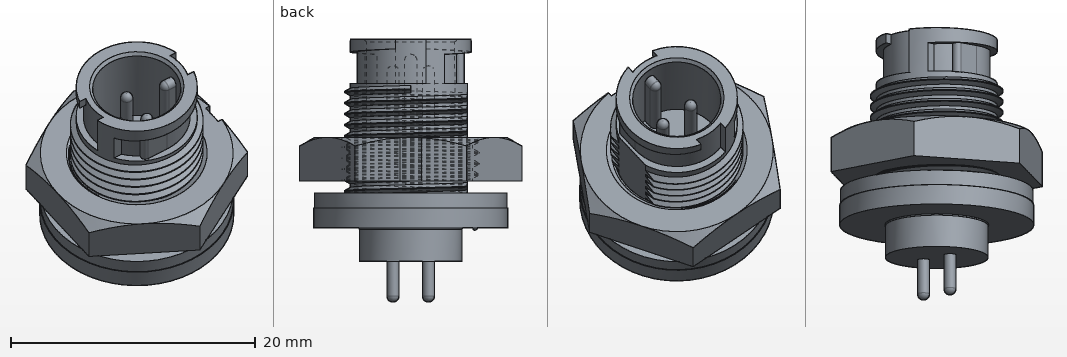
import cadquery as cq
import math


FLANGE_R = 7.94
FLANGE_H = 1.63
GASKET_R = 7.88
GASKET_TOP = 2.86

BOSS_R = 4.20
BOSS_H = 2.72
BOSS_COLLAR_R = 4.25
BOSS_COLLAR_H = 0.11
MARKER_R = 0.19
MARKER_X = -5.25

BARREL_R = 4.95
BARREL_TOP = 15.43
SHOULDER_TOP = 11.80
CAVITY_R = 3.60
CAVITY_FLOOR = 8.0
CAVITY_CHAMFER = 0.25
FLAT_X = -4.64

THREAD_PITCH = 0.90
THREAD_TURNS = 10
THREAD_CREST_R = 5.42
THREAD_CREST_W = 0.08
NUT_GROOVE_R = 5.60
NUT_GROOVE_W = 0.04
THREAD_HALF_ANGLE = 30
THREAD_EMBED = 0.05
THREAD_END_Z = 11.33
THREAD_END_ANGLE = 90

TRACK_FLOOR_R = 4.37
ENTRY_W = 2.53
TRACK_END_X = -2.74
ROOF_PITCH = 1.265
ROOF_ENTRY_Z = 14.63
ROOF_ENTRY_ANGLE = 255
ROOF_OVERRUN = 10
ROOF_BAND_H = ROOF_ENTRY_Z - SHOULDER_TOP + 0.2
DETENT_NOSE_Y = 1.89
DETENT_NOSE_R = 0.41
CUT_R = BARREL_R + 1.0

PIN_R = 0.50
PIN_X = 1.45
PIN_BOTTOM = -6.06
PIN_TOP = 13.25
DOME_FRACTION = 0.999
KEY_R = 0.50
KEY_Y = 2.86
KEY_TOP = 14.19

NUT_CORNERS = 18.18
NUT_BOTTOM = 3.83
NUT_H = 3.57
NUT_TOP = NUT_BOTTOM + NUT_H
NUT_CHAMFER_ANGLE = 30
NUT_BORE_R = 5.05
NUT_MOUTH_R = 5.75
NUT_SLOT_W = 1.78
NUT_SLOT_FLOOR_Y = 7.46


def disc(radius, bottom, top):
    return cq.Workplane("XY").workplane(offset=bottom).circle(radius).extrude(top - bottom)


def block(x_min, x_max, y_min, y_max, z_min, z_max):
    return cq.Workplane("XY").box(
        x_max - x_min, y_max - y_min, z_max - z_min, centered=False
    ).translate((x_min, y_min, z_min))


def half_turn(shape):
    return shape.rotate((0, 0, 0), (0, 0, 1), 180)


def thread_ridge(crest_r, crest_w):
    """Right-hand helical ridge, wound up to its end face on the +Y side."""
    height = THREAD_PITCH * THREAD_TURNS
    root_r = BARREL_R - THREAD_EMBED
    half_crest = crest_w / 2
    half_root = half_crest + (crest_r - root_r) * math.tan(math.radians(THREAD_HALF_ANGLE))
    path = cq.Wire.makeHelix(THREAD_PITCH, height, BARREL_R)
    ridge = (
        cq.Workplane("XZ")
        .polyline([
            (root_r, -half_root),
            (crest_r, -half_crest),
            (crest_r, half_crest),
            (root_r, half_root),
        ])
        .close()
        .sweep(cq.Workplane(obj=path), isFrenet=True)
    )
    ridge = ridge.rotate((0, 0, 0), (0, 0, 1), THREAD_END_ANGLE)
    return ridge.translate((0, 0, THREAD_END_Z - height))


def bayonet_roof_band():
    """Band from the helical roof down past the shoulder; the roof draws the coupling down."""
    end_angle = 180 - math.degrees(math.acos(-TRACK_END_X / BARREL_R))
    start_angle = end_angle - ROOF_OVERRUN
    sweep_angle = ROOF_ENTRY_ANGLE + ROOF_OVERRUN - start_angle
    height = ROOF_PITCH * sweep_angle / 360
    path = cq.Wire.makeHelix(ROOF_PITCH, height, BARREL_R)
    band = (
        cq.Workplane("XZ")
        .polyline([
            (CAVITY_R, -ROOF_BAND_H),
            (CUT_R, -ROOF_BAND_H),
            (CUT_R, 0),
            (CAVITY_R, 0),
        ])
        .close()
        .sweep(cq.Workplane(obj=path), isFrenet=True)
    )
    band = band.rotate((0, 0, 0), (0, 0, 1), start_angle)
    start_z = ROOF_ENTRY_Z - ROOF_PITCH * (ROOF_ENTRY_ANGLE - start_angle) / 360
    return band.translate((0, 0, start_z))


def bayonet_detent():
    """Flat-faced bump on the track floor with a round nose behind which the coupling pin rests."""
    face_x = -TRACK_FLOOR_R
    nose = disc(DETENT_NOSE_R, SHOULDER_TOP, BARREL_TOP).translate(
        (face_x + DETENT_NOSE_R, DETENT_NOSE_Y, 0)
    )
    flat = block(face_x, -CAVITY_R, 0, DETENT_NOSE_Y, SHOULDER_TOP, BARREL_TOP)
    return flat.union(nose)


def bayonet_cuts():
    """Entry slot on the -Y side, then the track under the helical roof around the -X side."""
    half_entry = ENTRY_W / 2
    entry = block(-half_entry, half_entry, -CUT_R, -CAVITY_R, SHOULDER_TOP, BARREL_TOP)
    sector = block(-CUT_R, half_entry, -CUT_R, 0, SHOULDER_TOP, BARREL_TOP)
    sector = sector.union(block(-CUT_R, TRACK_END_X, 0, CUT_R, SHOULDER_TOP, BARREL_TOP))
    track = bayonet_roof_band().intersect(sector).cut(bayonet_detent())
    return [entry, track]


def bayonet_head():
    """Coupling end: an outer wall cut by both tracks, around the core that forms their floor."""
    head = disc(BARREL_R, SHOULDER_TOP, BARREL_TOP)
    for cutter in bayonet_cuts():
        head = head.cut(cutter).cut(half_turn(cutter))
    return head.union(disc(TRACK_FLOOR_R, SHOULDER_TOP, BARREL_TOP))


def cavity():
    bore = disc(CAVITY_R, CAVITY_FLOOR, BARREL_TOP)
    return bore.union(
        cq.Workplane("XY").workplane(offset=BARREL_TOP - CAVITY_CHAMFER)
        .circle(CAVITY_R)
        .workplane(offset=CAVITY_CHAMFER)
        .circle(CAVITY_R + CAVITY_CHAMFER)
        .loft()
    )


def contact_pin(x):
    return (
        disc(PIN_R, PIN_BOTTOM, PIN_TOP)
        .faces("<Z or >Z").edges().fillet(PIN_R * DOME_FRACTION)
        .translate((x, 0, 0))
    )


def polarising_key():
    """Rib standing against the +Y cavity wall with a rounded nose and top."""
    axis_z = KEY_TOP - KEY_R
    wall_y = (CAVITY_R + TRACK_FLOOR_R) / 2
    nose = disc(KEY_R, CAVITY_FLOOR, axis_z).translate((0, KEY_Y, 0))
    web = block(-KEY_R, KEY_R, KEY_Y, wall_y, CAVITY_FLOOR, axis_z)
    crown = (
        cq.Workplane("XZ", origin=(0, KEY_Y, axis_z)).circle(KEY_R).extrude(KEY_Y - wall_y)
    )
    tip = cq.Workplane("XY").sphere(KEY_R).translate((0, KEY_Y, axis_z))
    return web.union(nose).union(crown).union(tip)


def rear_boss():
    collar = (
        cq.Workplane("XY").circle(BOSS_COLLAR_R)
        .workplane(offset=-BOSS_COLLAR_H).circle(BOSS_R)
        .loft()
    )
    return disc(BOSS_R, -BOSS_H, 0).union(collar)


def make_connector():
    body = disc(BARREL_R, GASKET_TOP, SHOULDER_TOP).union(thread_ridge(THREAD_CREST_R, THREAD_CREST_W))
    body = body.cut(block(-CUT_R, FLAT_X, -CUT_R, CUT_R, GASKET_TOP, SHOULDER_TOP))
    body = body.union(disc(FLANGE_R, 0, FLANGE_H)).union(disc(GASKET_R, FLANGE_H, GASKET_TOP))
    body = body.union(rear_boss())
    body = body.union(cq.Workplane("XY").sphere(MARKER_R).translate((MARKER_X, 0, 0)))
    body = body.union(bayonet_head()).cut(cavity()).union(polarising_key())
    for x in (-PIN_X, PIN_X):
        body = body.union(contact_pin(x))
    return body


def nut_blank():
    """Hexagon whose top corners are turned off by a cone."""
    corner_r = NUT_CORNERS / 2
    flat_r = corner_r * math.cos(math.pi / 6)
    corner_drop = (corner_r - flat_r) * math.tan(math.radians(NUT_CHAMFER_ANGLE))
    turned = (
        cq.Workplane("XZ")
        .polyline([
            (0, NUT_BOTTOM),
            (corner_r, NUT_BOTTOM),
            (corner_r, NUT_TOP - corner_drop),
            (flat_r, NUT_TOP),
            (0, NUT_TOP),
        ])
        .close()
        .revolve(360, (0, 0), (0, 1))
    )
    hexagon = (
        cq.Workplane("XY").workplane(offset=NUT_BOTTOM).polygon(6, NUT_CORNERS).extrude(NUT_H)
    )
    return hexagon.intersect(turned)


def nut_mouth():
    """Countersink at the top of the bore."""
    depth = (NUT_MOUTH_R - NUT_BORE_R) * math.tan(math.radians(NUT_CHAMFER_ANGLE))
    return (
        cq.Workplane("XY").workplane(offset=NUT_TOP - depth).circle(NUT_BORE_R)
        .workplane(offset=depth).circle(NUT_MOUTH_R)
        .loft()
    )


def nut_slot():
    half_width = NUT_SLOT_W / 2
    return block(-half_width, half_width, NUT_SLOT_FLOOR_Y, NUT_CORNERS / 2, NUT_BOTTOM, NUT_TOP)


def make_nut():
    """The thread is cut into the solid blank first, then the bore clears its root."""
    groove = thread_ridge(NUT_GROOVE_R, NUT_GROOVE_W)
    bore = disc(NUT_BORE_R, NUT_BOTTOM, NUT_TOP)
    return nut_blank().cut(groove).cut(bore).cut(nut_mouth()).cut(nut_slot())


connector = make_connector()
nut = make_nut()

result = cq.Compound.makeCompound([connector.val(), nut.val()])